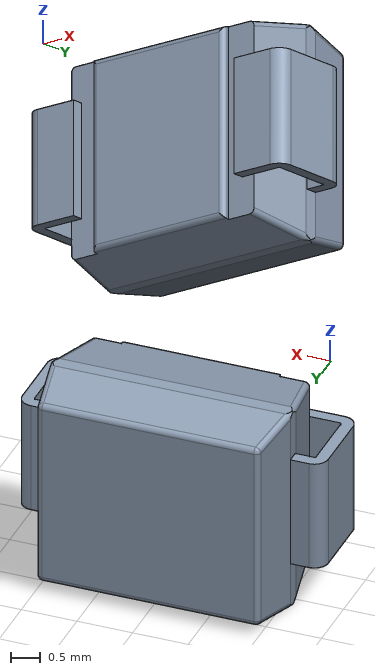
import cadquery as cq
import math


body_length = 4.33
body_width = 3.8
body_top = 2.62
body_bottom = 0.24
draft_angle = 10.0
edge_radius = 0.1

lead_span = 5.5
lead_width = 2.04
lead_thickness = 0.22
lead_top = 1.62
foot_length = 1.02
bend_radius = 0.25

band_height = 0.25
band_middle = lead_top - band_height / 2

pad_length = 2.84
pad_bottom = 0.1


def drafted_half(direction, end_y):
    """Half of the body, from the middle of the band to end_y, narrowing with draft."""
    height = abs(end_y - band_middle)
    overhang = band_height / 2 * math.tan(math.radians(draft_angle))
    base = cq.Plane(origin=(0, band_middle, 0), xDir=(1, 0, 0), normal=(0, direction, 0))
    half = (
        cq.Workplane(base)
        .rect(body_length + 2 * overhang, body_width + 2 * overhang)
        .extrude(height, taper=draft_angle)
    )
    return half.edges("not(|X or |Y or |Z)").fillet(edge_radius)


def make_lower_half():
    """Lower half, cut back to body_bottom on both sides of a raised pad whose ends follow the draft."""
    half = drafted_half(-1, pad_bottom)
    step_height = body_bottom - pad_bottom
    step_length = (body_length - pad_length) / 2
    for side in (-1, 1):
        step = cq.Workplane("XY").box(step_length, step_height, body_width)
        step_x = side * (pad_length + step_length) / 2
        half = half.cut(step.translate((step_x, pad_bottom + step_height / 2, 0)))
    return half.faces("<Y").edges().fillet(edge_radius)


def make_body():
    upper = drafted_half(1, body_top).faces(">Y").edges().fillet(edge_radius)
    outline = cq.Workplane("XY").box(body_length, 2 * body_top, body_width)
    return upper.union(make_lower_half()).intersect(outline)


def make_lead(side):
    """C-shaped lead on the given X side: arm out of the body, bend down, fold back under it."""
    outer_x = side * lead_span / 2
    inner_x = outer_x - side * lead_thickness
    foot_end_x = outer_x - side * foot_length
    lead = (
        cq.Workplane("XY")
        .workplane(offset=-lead_width / 2)
        .moveTo(foot_end_x, 0)
        .lineTo(outer_x, 0)
        .lineTo(outer_x, lead_top)
        .lineTo(foot_end_x, lead_top)
        .lineTo(foot_end_x, lead_top - lead_thickness)
        .lineTo(inner_x, lead_top - lead_thickness)
        .lineTo(inner_x, lead_thickness)
        .lineTo(foot_end_x, lead_thickness)
        .close()
        .extrude(lead_width)
    )
    outer_face = ">X" if side > 0 else "<X"
    lead = lead.faces(outer_face).edges("|Z").fillet(bend_radius)
    inner_corners = cq.selectors.BoxSelector(
        (inner_x - lead_thickness / 2, 0, -lead_width),
        (inner_x + lead_thickness / 2, lead_top, lead_width),
    )
    inner_radius = bend_radius - lead_thickness
    return lead.edges("|Z").edges(inner_corners).fillet(inner_radius)


result = make_body()
for lead_side in (-1, 1):
    result = result.union(make_lead(lead_side))